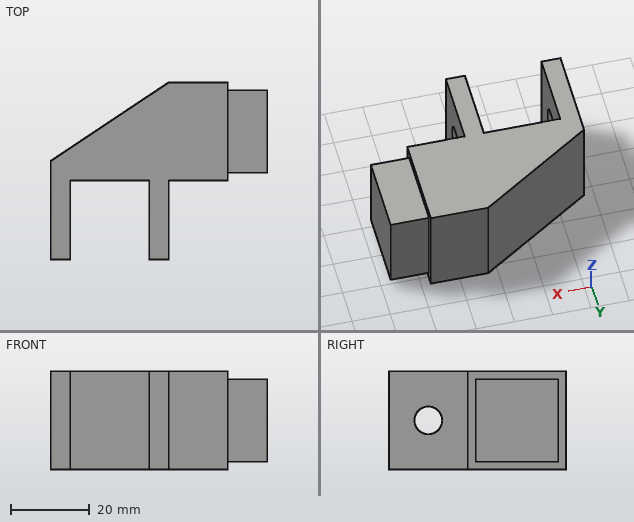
import cadquery as cq

total_length = 55.0
total_depth = 45.0
height = 25.0

tenon_length = 10.0
tenon_size = 21.0

arm_thickness = 5.0
arm_length = 20.0
arm_gap = 19.95
hole_diameter = 7.0

body_length = total_length - tenon_length
second_arm_start = arm_thickness + arm_gap
second_arm_end = second_arm_start + arm_thickness
slope_start_y = arm_length + arm_thickness
body_center_y = (arm_length + total_depth) / 2
hole_y = arm_length / 2

profile = [
    (0, 0),
    (arm_thickness, 0),
    (arm_thickness, arm_length),
    (second_arm_start, arm_length),
    (second_arm_start, 0),
    (second_arm_end, 0),
    (second_arm_end, arm_length),
    (body_length, arm_length),
    (body_length, total_depth),
    (second_arm_end, total_depth),
    (0, slope_start_y),
]
body = cq.Workplane("XY").polyline(profile).close().extrude(height)

tenon = (
    cq.Workplane("YZ", origin=(body_length, body_center_y, height / 2))
    .rect(tenon_size, tenon_size)
    .extrude(tenon_length)
)

pin_hole = (
    cq.Workplane("YZ", origin=(0, hole_y, height / 2))
    .circle(hole_diameter / 2)
    .extrude(second_arm_end)
)

result = body.union(tenon).cut(pin_hole)